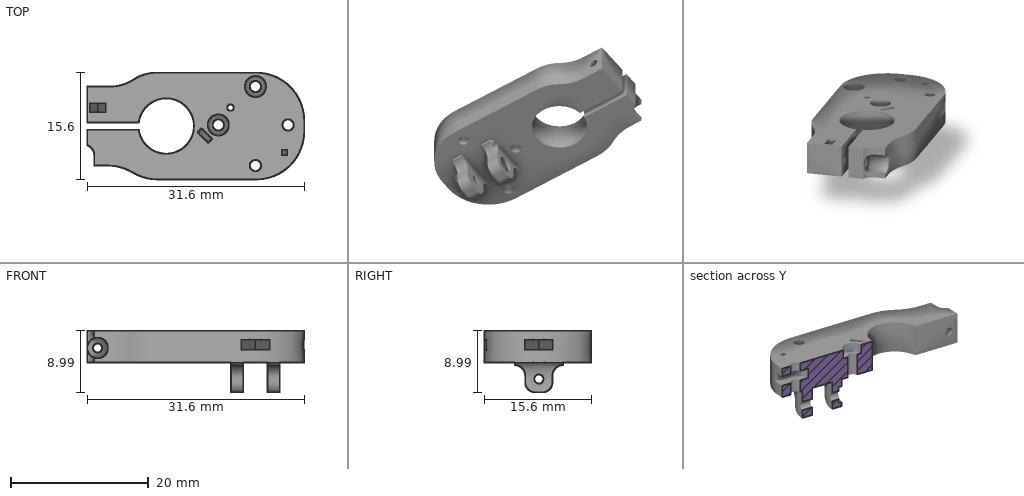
import cadquery as cq
import math

length = 31.55
width = 15.55
thickness = 4.67
corner_radius = 7.0
blend_radius = corner_radius
rear_blend_radius = 6.0
neck_width = 11.52
neck_length = 3.0
rear_neck_length = 3.4

bore_diameter = 8.02
bore_x = 11.5
slit_width = 1.0
clamp_screw_x = 1.5
clamp_screw_z = 2.15
clamp_screw_diameter = 1.3
head_recess_diameter = 3.0
head_recess_y = -2.8
notch_depth = 1.0
notch_radius = 1.5
notch_center_y = -4.23
clamp_nut_flats = 2.3
clamp_nut_thickness = 1.25
clamp_nut_y = 2.65

screw_diameter = 1.6
side_screw_x = 24.45
side_screw_y = 5.75
axis_y = 0.15
middle_screw_x = 19.05
end_screw_x = 29.2
counterbore_diameter = 3.1
counterbore_depth = 1.35
screw_nut_flats = 4.1
screw_nut_thickness = 1.42
screw_nut_z = 1.93

pin_hole_diameter = 0.9
pin_hole_x = 20.83
pin_hole_y = 2.68
pocket_width = 0.82
pocket_depth = 1.0
angled_pocket_length = 2.2
angled_pocket_center = (17.1, -1.4)
angled_pocket_angle = -45.0
square_pocket_center = (28.65, -3.85)

lug_starts = (20.9, 26.2)
lug_thickness = 1.8
lug_width = 4.0
lug_height = 4.32
lug_radius = 1.5
foot_height = 0.35
foot_trim_radius = 4.9
hinge_hole_diameter = 1.3
hinge_hole_z = -2.37
hinge_recess_diameter = 2.5
hinge_recess_depth = 0.5

half_width = width / 2
half_neck = neck_width / 2
blend_rise = (half_width - half_neck) / 2


def half_plate(straight, arc_radius):
    """-Y half of the plate: straight neck, S-shaped blend and a rounded end corner."""
    blend_run = math.sqrt(arc_radius**2 - (arc_radius - blend_rise) ** 2)
    blend_middle = (straight + blend_run, -half_neck - blend_rise)
    blend_end = (straight + 2 * blend_run, -half_width)
    outline = (
        cq.Workplane("XY")
        .lineTo(0, -half_neck)
        .lineTo(straight, -half_neck)
        .radiusArc(blend_middle, arc_radius)
        .radiusArc(blend_end, -arc_radius)
        .lineTo(length, -half_width)
        .lineTo(length, 0)
        .close()
    )
    return outline.extrude(thickness).edges("|Z and >X and <Y").fillet(corner_radius)


def vertical_cylinder(x, y, diameter, bottom, top):
    return cq.Workplane("XY", origin=(x, y, bottom)).circle(diameter / 2).extrude(top - bottom)


def nut_slot(flats, depth_to_mouth, nut_thickness):
    """Hexagonal nut seat around the origin, open towards +X, flats along X, extruded up Z."""
    corner = flats / math.sqrt(3)
    half_flats = flats / 2
    return (
        cq.Workplane("XY")
        .polyline(
            [
                (-corner, 0),
                (-corner / 2, -half_flats),
                (depth_to_mouth, -half_flats),
                (depth_to_mouth, half_flats),
                (-corner / 2, half_flats),
            ]
        )
        .close()
        .extrude(nut_thickness)
    )


def clamp_cuts():
    """Bore, slit, clamping screw with head recess and nut slot, and the end relief."""
    bore = vertical_cylinder(bore_x, 0, bore_diameter, 0, thickness)
    slit = cq.Workplane("XY").box(bore_x, slit_width, thickness, centered=(False, True, False))

    screw_axis = cq.Workplane("XZ", origin=(clamp_screw_x, half_neck, clamp_screw_z))
    screw = screw_axis.circle(clamp_screw_diameter / 2).extrude(neck_width)
    recess_plane = cq.Workplane("XZ", origin=(clamp_screw_x, head_recess_y, clamp_screw_z))
    recess = recess_plane.circle(head_recess_diameter / 2).extrude(half_neck + head_recess_y)
    neck_block = cq.Workplane("XY").box(2 * neck_length, neck_width, thickness, centered=(True, True, False))
    recess = recess.intersect(neck_block)

    relief_x = notch_depth - notch_radius
    relief = vertical_cylinder(relief_x, notch_center_y, 2 * notch_radius, 0, thickness)
    relief_step = cq.Workplane("XY").box(notch_depth, half_neck + notch_center_y, thickness, centered=False)
    relief = relief.union(relief_step.translate((0, -half_neck, 0)))

    nut = nut_slot(clamp_nut_flats, thickness - clamp_screw_z, clamp_nut_thickness)
    nut = nut.translate((0, 0, -clamp_nut_thickness / 2))
    nut = nut.rotate((0, 0, 0), (1, 0, 0), 90).rotate((0, 0, 0), (0, 1, 0), -90)
    nut = nut.translate((clamp_screw_x, clamp_nut_y, clamp_screw_z))
    return [bore, slit, screw, recess, relief, nut]


def screw_cuts():
    """Four vertical screw holes: two counterbored from above, two with side nut slots."""
    plain = [(side_screw_x, -side_screw_y), (end_screw_x, axis_y)]
    counterbored = [(side_screw_x, side_screw_y), (middle_screw_x, axis_y)]
    cuts = [vertical_cylinder(x, y, screw_diameter, 0, thickness) for x, y in plain + counterbored]
    for x, y in counterbored:
        floor = thickness - counterbore_depth
        cuts.append(vertical_cylinder(x, y, counterbore_diameter, floor, thickness))

    end_slot = nut_slot(screw_nut_flats, length - end_screw_x, screw_nut_thickness)
    cuts.append(end_slot.translate((end_screw_x, axis_y, screw_nut_z)))
    side_slot = nut_slot(screw_nut_flats, half_width - side_screw_y, screw_nut_thickness)
    side_slot = side_slot.rotate((0, 0, 0), (0, 0, 1), -90)
    cuts.append(side_slot.translate((side_screw_x, -side_screw_y, screw_nut_z)))
    return cuts


def top_pocket(center, pocket_length, angle):
    """Blind rectangular pocket in the top face."""
    floor = thickness - pocket_depth
    return (
        cq.Workplane("XY", origin=(center[0], center[1], floor))
        .transformed(rotate=(0, 0, angle))
        .rect(pocket_length, pocket_width)
        .extrude(pocket_depth)
    )


def lug(start_x):
    """Hinge lug with a flared foot and rounded lower corners."""
    half_lug = lug_width / 2
    half_foot = half_lug + lug_radius
    flare_end = -foot_height - lug_radius
    return (
        cq.Workplane("YZ", origin=(start_x, axis_y, 0))
        .moveTo(-half_foot, 0)
        .lineTo(-half_foot, -foot_height)
        .radiusArc((-half_lug, flare_end), lug_radius)
        .lineTo(-half_lug, lug_radius - lug_height)
        .radiusArc((lug_radius - half_lug, -lug_height), -lug_radius)
        .lineTo(half_lug - lug_radius, -lug_height)
        .radiusArc((half_lug, lug_radius - lug_height), -lug_radius)
        .lineTo(half_lug, flare_end)
        .radiusArc((half_foot, -foot_height), lug_radius)
        .lineTo(half_foot, 0)
        .close()
        .extrude(lug_thickness)
    )


def hinge_cuts():
    """Pin hole through both lugs, recessed in the outer face of the first lug."""
    pin_axis = cq.Workplane("YZ", origin=(lug_starts[0], axis_y, hinge_hole_z))
    hole_length = lug_starts[-1] + lug_thickness - lug_starts[0]
    hole = pin_axis.circle(hinge_hole_diameter / 2).extrude(hole_length)
    recess = pin_axis.circle(hinge_recess_diameter / 2).extrude(hinge_recess_depth)
    return [hole, recess]


front_half = half_plate(neck_length, blend_radius)
rear_half = half_plate(rear_neck_length, rear_blend_radius).mirror("XZ")
result = front_half.union(rear_half)
foot_trim = vertical_cylinder(length - corner_radius, 0, 2 * foot_trim_radius, -lug_height, 0)
for lug_start in lug_starts:
    result = result.union(lug(lug_start).intersect(foot_trim))

pin_hole = vertical_cylinder(pin_hole_x, pin_hole_y, pin_hole_diameter, -lug_height, thickness)
angled_pocket = top_pocket(angled_pocket_center, angled_pocket_length, angled_pocket_angle)
square_pocket = top_pocket(square_pocket_center, pocket_width, 0)

for cut in clamp_cuts() + screw_cuts() + hinge_cuts() + [pin_hole, angled_pocket, square_pocket]:
    result = result.cut(cut)